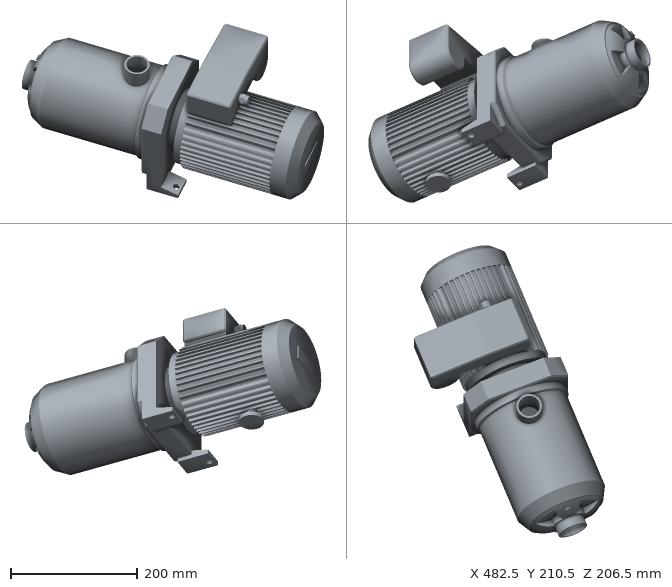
import cadquery as cq
import math


head_front = 15.0
pocket_floor = 25.0
cone_front = 29.5
cone_back = 49.5
casing_back = 211.5
plate_front = 225.0
bracket_front = 234.0
bracket_back = 259.0
flange_front = 274.0
fins_front = 286.5
cover_front = 439.3
cover_bevel_start = 467.0
cover_back = 481.3
overall_length = 482.5

casing_radius = 149.0 / 2
cone_front_radius = 63.5
dome_radius = 61.5
inlet_radius = 48.5 / 2
inlet_bore_radius = 42.5 / 2
hub_radius = 29.5
dome_depth = cone_front - head_front
dome_reach = dome_radius - hub_radius
crown_radius = (dome_reach**2 + dome_depth**2) / (2 * dome_depth)
pocket_radius = 57.5
pocket_count = 4
pocket_angle = 45.0
outlet_x = 186.5
outlet_top = 103.0
outlet_radius = 40.0 / 2
outlet_bore_radius = 34.0 / 2
outlet_bore_floor = 48.5

plug_radius = 10.0 / 2
plug_z = 48.5
plug_height = 2.0
plug_depth = 5.0

ring_radius = 156.5 / 2
ring_bevel_length = 2.5

plate_half = 83.0
plate_corner = 53.5
plate_chamfer = 2.5
ground_z = -90.0
foot_inner_y = 47.0
foot_back = 288.0
foot_root_z = -75.5
foot_tip_z = -82.5
bolt_hole_radius = 10.0 / 2
bolt_hole_x = 279.5
bolt_hole_y = 69.0

neck_radius = 102.5 / 2
motor_radius = 136.0 / 2
fin_radius = 146.0 / 2
fin_pitch = 9.0
fin_thickness = 2.5
fins_each_side = 5
cover_end_radius = 59.0
badge_width = 55.0
badge_height = 23.0

base_inset = 1.5
box_front = fins_front - base_inset
box_back = 360.5
box_right_y = -40.5
box_left_y = 127.5
box_top = 116.5
box_bottom = 72.0
box_ridge_y = 29.5
box_left_top = 106.0
bulb_radius = 25.5
bulb_center_z = 61.5
box_chamfer = 2.5
base_half_width = 35.5

gland_z = 94.0
gland_radius = 16.0 / 2
gland_hex_start = 364.5
gland_hex_end = 370.0
gland_end = 375.5

support_x = 387.0
support_stem_radius = 20.0 / 2
support_pad_radius = 40.0 / 2
support_cone_top = -76.7
support_pad_top = -83.0


def shaft_cylinder(radius, start, end):
    """A cylinder about the X axis between two stations."""
    return cq.Workplane("YZ").workplane(offset=start).circle(radius).extrude(end - start)


def polar(radius, angle):
    return (radius * math.cos(angle), radius * math.sin(angle))


def dome_station(radius):
    """Station of the dome at a radius; the dome's arc leaves the flat hub face tangentially."""
    return head_front + crown_radius - math.sqrt(crown_radius**2 - (radius - hub_radius) ** 2)


def make_head_pockets():
    """Ring sectors sunk into the domed head, leaving petals between them."""
    sweep = math.radians(pocket_angle)
    pockets = cq.Workplane("XY")
    for index in range(pocket_count):
        middle = 2 * math.pi * (index + 0.5) / pocket_count
        start = middle - sweep / 2
        end = middle + sweep / 2
        sector = (
            cq.Workplane("YZ")
            .moveTo(*polar(hub_radius, start))
            .lineTo(*polar(pocket_radius, start))
            .threePointArc(polar(pocket_radius, middle), polar(pocket_radius, end))
            .lineTo(*polar(hub_radius, end))
            .threePointArc(polar(hub_radius, middle), polar(hub_radius, start))
            .close()
            .extrude(pocket_floor)
        )
        pockets = pockets.add(sector)
    return pockets


def make_casing_blank():
    """Domed head, cone and barrel, before the inlet, outlet and pockets."""
    middle_radius = (hub_radius + dome_radius) / 2
    dome_middle = (dome_station(middle_radius), middle_radius)
    dome_rim = (cone_front, dome_radius)
    return (
        cq.Workplane("XY")
        .moveTo(head_front, 0)
        .lineTo(head_front, hub_radius)
        .threePointArc(dome_middle, dome_rim)
        .lineTo(cone_front, cone_front_radius)
        .lineTo(cone_back, casing_radius)
        .lineTo(casing_back, casing_radius)
        .lineTo(casing_back, 0)
        .close()
        .revolve(360, (0, 0, 0), (1, 0, 0))
    )


def make_plug():
    """Filler plug standing square to the dome, part sunk and part proud of it."""
    tilt = math.asin((plug_z - hub_radius) / crown_radius)
    dome_plane = cq.Plane(
        origin=(dome_station(plug_z), 0, plug_z),
        xDir=(0, 1, 0),
        normal=(-math.cos(tilt), 0, math.sin(tilt)),
    )
    return (
        cq.Workplane(dome_plane)
        .workplane(offset=-plug_depth)
        .circle(plug_radius)
        .extrude(plug_depth + plug_height)
    )


def make_casing(plug):
    """Casing with petalled head, inlet and outlet pipes, and the seat of the plug."""
    outlet = (
        cq.Workplane("XY")
        .center(outlet_x, 0)
        .circle(outlet_radius)
        .extrude(outlet_top)
    )
    outlet_bore = (
        cq.Workplane("XY")
        .workplane(offset=outlet_bore_floor)
        .center(outlet_x, 0)
        .circle(outlet_bore_radius)
        .extrude(outlet_top - outlet_bore_floor)
    )
    casing = make_casing_blank().cut(make_head_pockets())
    casing = casing.union(shaft_cylinder(inlet_radius, 0, pocket_floor)).union(outlet)
    casing = casing.cut(shaft_cylinder(inlet_bore_radius, 0, head_front))
    return casing.cut(outlet_bore).cut(plug)


def make_clamp_ring():
    """Disc with a bevel that rises from the barrel to its full radius."""
    bevel_end = casing_back + ring_bevel_length
    return (
        cq.Workplane("XY")
        .moveTo(casing_back, 0)
        .lineTo(casing_back, casing_radius)
        .lineTo(bevel_end, ring_radius)
        .lineTo(plate_front, ring_radius)
        .lineTo(plate_front, 0)
        .close()
        .revolve(360, (0, 0, 0), (1, 0, 0))
    )


def make_flange_plate():
    """Octagonal plate with a chamfered front rim."""
    corners = []
    for side_y, side_z in ((1, 1), (-1, 1), (-1, -1), (1, -1)):
        pair = [
            (side_y * plate_half, side_z * plate_corner),
            (side_y * plate_corner, side_z * plate_half),
        ]
        corners += pair if side_y == side_z else pair[::-1]
    plate = (
        cq.Workplane("YZ")
        .workplane(offset=plate_front)
        .polyline(corners)
        .close()
        .extrude(bracket_front - plate_front)
    )
    return plate.faces("<X").chamfer(plate_chamfer)


def make_bracket():
    """Upright with cut top corners, standing on two feet that reach under the motor."""
    upright = (
        cq.Workplane("YZ")
        .workplane(offset=bracket_front)
        .polyline([
            (plate_half, ground_z),
            (plate_half, plate_corner),
            (plate_corner, plate_half),
            (-plate_corner, plate_half),
            (-plate_half, plate_corner),
            (-plate_half, ground_z),
            (-foot_inner_y, ground_z),
            (-foot_inner_y, -plate_half),
            (foot_inner_y, -plate_half),
            (foot_inner_y, ground_z),
        ])
        .close()
        .extrude(bracket_back - bracket_front)
    )
    for side in (1, -1):
        foot = (
            cq.Workplane("XZ", origin=(0, side * foot_inner_y, 0))
            .polyline([
                (bracket_back, ground_z),
                (foot_back, ground_z),
                (foot_back, foot_tip_z),
                (bracket_back, foot_root_z),
            ])
            .close()
            .extrude(-side * (plate_half - foot_inner_y))
        )
        bolt_hole = (
            cq.Workplane("XY")
            .workplane(offset=ground_z)
            .center(bolt_hole_x, side * bolt_hole_y)
            .circle(bolt_hole_radius)
            .extrude(foot_root_z - ground_z)
        )
        upright = upright.union(foot.cut(bolt_hole))
    return upright


def make_motor(terminal_box, support):
    """Neck, flange and finned barrel; the fins are cut away under the box and the support."""
    fin_length = cover_front - fins_front
    fin_middle = (fins_front + cover_front) / 2
    fin_width = 2 * fin_radius
    slabs = cq.Workplane("XY")
    for index in range(-fins_each_side, fins_each_side + 1):
        offset = index * fin_pitch
        level = cq.Workplane("XY").box(fin_length, fin_width, fin_thickness)
        upright = cq.Workplane("XY").box(fin_length, fin_thickness, fin_width)
        slabs = slabs.add(level.translate((fin_middle, 0, offset)))
        slabs = slabs.add(upright.translate((fin_middle, offset, 0)))
    fins = slabs.combine().intersect(shaft_cylinder(fin_radius, fins_front, cover_front))
    motor = shaft_cylinder(motor_radius, flange_front, cover_front).union(fins)
    motor = motor.union(shaft_cylinder(neck_radius, bracket_back, flange_front))
    return motor.cut(terminal_box).cut(support)


def make_fan_cover():
    """Rear cover with a bevelled end and a raised badge."""
    cover = (
        cq.Workplane("XY")
        .moveTo(cover_front, 0)
        .lineTo(cover_front, fin_radius)
        .lineTo(cover_bevel_start, fin_radius)
        .lineTo(cover_back, cover_end_radius)
        .lineTo(cover_back, 0)
        .close()
        .revolve(360, (0, 0, 0), (1, 0, 0))
    )
    badge = (
        cq.Workplane("YZ")
        .workplane(offset=cover_back)
        .rect(badge_width, badge_height)
        .extrude(overall_length - cover_back)
    )
    return cover.union(badge)


def make_terminal_box():
    """Box with a sloping lid and a rounded capacitor bulb, on a base seated on the motor barrel."""
    bulb_right_y = box_left_y - 2 * bulb_radius
    bulb_center_y = box_left_y - bulb_radius
    box = (
        cq.Workplane("YZ")
        .workplane(offset=box_front)
        .moveTo(box_right_y, box_bottom)
        .lineTo(box_right_y, box_top)
        .lineTo(box_ridge_y, box_top)
        .lineTo(box_left_y, box_left_top)
        .lineTo(box_left_y, bulb_center_z)
        .threePointArc((bulb_center_y, bulb_center_z - bulb_radius), (bulb_right_y, bulb_center_z))
        .lineTo(bulb_right_y, box_bottom)
        .close()
        .extrude(box_back - box_front)
        .faces("<X or >X or <Y")
        .chamfer(box_chamfer)
    )
    base = (
        cq.Workplane("XY")
        .box(
            box_back - box_front - 2 * base_inset,
            2 * base_half_width,
            box_bottom + box_chamfer,
            centered=(False, True, False),
        )
        .translate((box_front + base_inset, 0, 0))
        .cut(shaft_cylinder(motor_radius, flange_front, cover_front))
    )
    return box.union(base)


def make_gland():
    """Cable gland: a round stem with a hexagonal nut, corners pointing along Y."""
    stem = shaft_cylinder(gland_radius, box_back, gland_end).translate((0, 0, gland_z))
    corner_diameter = 2 * gland_radius / math.cos(math.pi / 6)
    nut = (
        cq.Workplane("YZ")
        .workplane(offset=gland_hex_start)
        .center(0, gland_z)
        .polygon(6, corner_diameter)
        .extrude(gland_hex_end - gland_hex_start)
    )
    return stem.union(nut)


def make_support():
    """Round foot whose stem ends on the motor barrel."""
    foot = (
        cq.Workplane("XZ")
        .moveTo(0, ground_z)
        .lineTo(support_pad_radius, ground_z)
        .lineTo(support_pad_radius, support_pad_top)
        .lineTo(support_stem_radius, support_cone_top)
        .lineTo(support_stem_radius, -neck_radius)
        .lineTo(0, -neck_radius)
        .close()
        .revolve(360, (0, 0, 0), (0, 1, 0))
        .translate((support_x, 0, 0))
    )
    return foot.cut(shaft_cylinder(motor_radius, flange_front, cover_front))


plug = make_plug()
casing = make_casing(plug)
clamp_ring = make_clamp_ring()
flange_plate = make_flange_plate()
bracket = make_bracket()
terminal_box = make_terminal_box()
support = make_support()
motor = make_motor(terminal_box, support)
fan_cover = make_fan_cover()
gland = make_gland()

result = cq.Compound.makeCompound([
    casing.val(),
    plug.val(),
    clamp_ring.val(),
    flange_plate.val(),
    bracket.val(),
    motor.val(),
    fan_cover.val(),
    terminal_box.val(),
    gland.val(),
    support.val(),
])